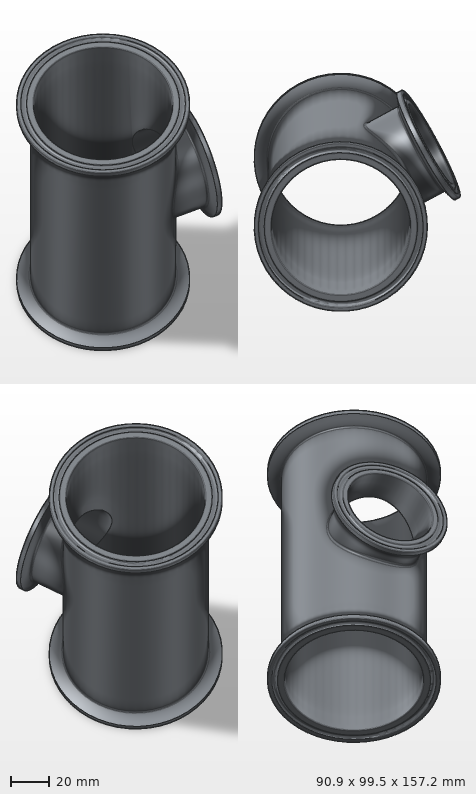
import cadquery as cq
import math

LENGTH = 157.2
RUN_OUTER_DIAMETER = 76.2
RUN_BORE_DIAMETER = 73.0
RUN_FLANGE_DIAMETER = 90.9
RUN_GROOVE_DIAMETER = 83.3

BRANCH_REACH = 54.0
BRANCH_OUTER_DIAMETER = 50.8
BRANCH_BORE_DIAMETER = 47.5
BRANCH_FLANGE_DIAMETER = 64.0
BRANCH_GROOVE_DIAMETER = 56.5

RIM_THICKNESS = 2.8
CLAMP_ANGLE = 20.0
NECK_FILLET = 1.1
FACE_EDGE_FILLET = 0.4
GROOVE_WIDTH = 3.1
GROOVE_DEPTH = 1.1

JUNCTION_FILLET = 1.5


def ferrule_tube(length, outer_diameter, flange_diameter):
    """Solid round bar along +Z from the origin, with a clamp flange at its far end."""
    outer_radius = outer_diameter / 2
    flange_radius = flange_diameter / 2
    cone_top = length - RIM_THICKNESS
    cone_height = (flange_radius - outer_radius) * math.tan(math.radians(CLAMP_ANGLE))
    cone_base = cone_top - cone_height
    bar = (
        cq.Workplane("XZ")
        .moveTo(0, 0)
        .lineTo(outer_radius, 0)
        .lineTo(outer_radius, cone_base)
        .lineTo(flange_radius, cone_top)
        .lineTo(flange_radius, length)
        .lineTo(0, length)
        .close()
        .revolve(360, (0, 0, 0), (0, 1, 0))
    )
    neck = cq.selectors.BoxSelector(
        (-flange_radius, -flange_radius, cone_base - cone_height / 2),
        (flange_radius, flange_radius, cone_base + cone_height / 2),
        boundingbox=False,
    )
    return bar.edges(neck).fillet(NECK_FILLET)


def gasket_groove(face_height, groove_diameter):
    """Ring with an arc-shaped section that sinks into a flange face at face_height."""
    middle = groove_diameter / 2
    inner = middle - GROOVE_WIDTH / 2
    outer = middle + GROOVE_WIDTH / 2
    return (
        cq.Workplane("XZ")
        .moveTo(inner, face_height)
        .threePointArc((middle, face_height - GROOVE_DEPTH), (outer, face_height))
        .close()
        .revolve(360, (0, 0, 0), (0, 1, 0))
    )


def point_along_y(shape):
    """Turn a shape built along +Z so that it runs along +Y."""
    return shape.rotate((0, 0, 0), (1, 0, 0), -90)


upper_half = ferrule_tube(LENGTH / 2, RUN_OUTER_DIAMETER, RUN_FLANGE_DIAMETER)
run = upper_half.union(upper_half.mirror("XY")).clean()
branch = point_along_y(ferrule_tube(BRANCH_REACH, BRANCH_OUTER_DIAMETER, BRANCH_FLANGE_DIAMETER))
body = run.union(branch)

junction = cq.selectors.BoxSelector(
    (-RUN_OUTER_DIAMETER / 2, 0, -BRANCH_OUTER_DIAMETER / 2),
    (RUN_OUTER_DIAMETER / 2, RUN_OUTER_DIAMETER / 2, BRANCH_OUTER_DIAMETER / 2),
)
body = body.edges("(not %CIRCLE) and (not %LINE)").edges(junction).fillet(JUNCTION_FILLET)

run_bore = cq.Workplane("XY").circle(RUN_BORE_DIAMETER / 2).extrude(LENGTH / 2, both=True)
branch_bore = point_along_y(
    cq.Workplane("XY").circle(BRANCH_BORE_DIAMETER / 2).extrude(BRANCH_REACH)
)
body = body.cut(run_bore).cut(branch_bore)

top_groove = gasket_groove(LENGTH / 2, RUN_GROOVE_DIAMETER)
branch_groove = point_along_y(gasket_groove(BRANCH_REACH, BRANCH_GROOVE_DIAMETER))
body = body.cut(top_groove).cut(top_groove.mirror("XY")).cut(branch_groove)

body = body.faces(">Z or <Z or >Y").edges("%CIRCLE").fillet(FACE_EDGE_FILLET)

result = body